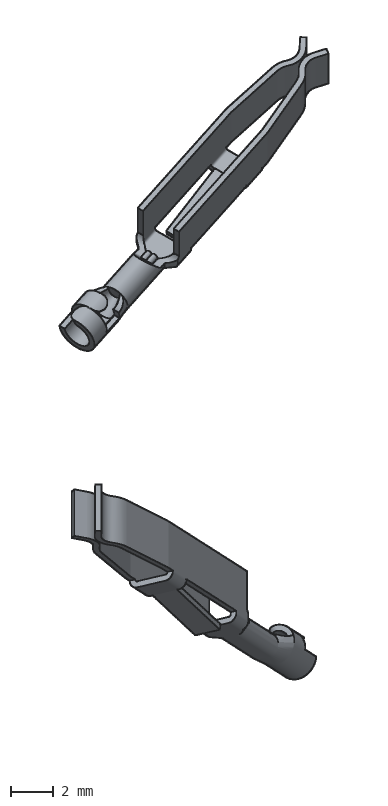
import cadquery as cq
import math


sheet = 0.3
half_width = 1.2
bend = 0.42
top = 2.9

barrel_split = 1.0
barrel_end = 2 * barrel_split
crimp_start = 3.03
crimp_end = 6.05
neck_end = 6.45
wall_start = 6.56
rear_floor_end = 7.55
bridge_start = 12.05
bridge_end = 13.28
lead_in = 13.7
tip_end = 19.3

bridge_lift = 0.1
latch_half_width = 0.68
latch_end = 8.13
latch_bottom = -0.56

waist_x = 0.35
waist_y = 18.16
waist_radius = 0.77
shoulder_radius = 1.4
tip_angle = math.radians(33)
throat_angle = math.radians(40)

crimp_half_width = 0.75
crimp_top = 1.27
crimp_side = 0.64
neck_floor_half_width = 0.3
curl_radius = 0.17
curl_z = 0.7
curl_offset = 0.15
curl_start = 5.21

notch_low = crimp_side
notch_wall_z = 0.96
notch_flat_end = 6.1
notch_start = 5.17
notch_angle = math.radians(51)
notch_radius = 0.2

barrel_radius = 1.02
ledge_z = 0.93
finger_reach = 0.56
funnel_radius = 0.33
funnel_edge = ((crimp_start, 1.14), (2.7, 1.1), (barrel_end, 1.33))


def plane_at(y):
    """Plane across the part at station y: local x is X, local y is Z."""
    return cq.Workplane("XZ", origin=(0, y, 0))


def block(x0, x1, y0, y1, z0, z1):
    return cq.Workplane("XY").box(x1 - x0, y1 - y0, z1 - z0, centered=False).translate((x0, y0, z0))


def trough_outline(plane, half, radius, low, high):
    """Upright outline with rounded lower corners."""
    inset = radius * (1 - math.sqrt(0.5))
    return (
        plane.moveTo(-half + radius, low)
        .lineTo(half - radius, low)
        .threePointArc((half - inset, low + inset), (half, low + radius))
        .lineTo(half, high)
        .lineTo(-half, high)
        .lineTo(-half, low + radius)
        .threePointArc((-half + inset, low + inset), (-half + radius, low))
        .close()
    )


def bridge():
    """Floor strip joining the walls near the front, with upright stubs that merge into the walls."""
    length = bridge_end - bridge_start
    floor = bridge_lift + sheet
    stub_top = bridge_lift + bend + sheet
    outer = trough_outline(plane_at(bridge_end), half_width, bend, bridge_lift, stub_top).extrude(length)
    inner = trough_outline(plane_at(bridge_end), half_width - sheet, bend - sheet, floor, stub_top)
    return outer.cut(inner.extrude(length))


def contact_arm():
    """Right wall and contact arm, seen from above and extruded upwards."""

    def on_waist(radius, angle):
        centre_x = waist_x + waist_radius
        return (centre_x - radius * math.cos(angle), waist_y + radius * math.sin(angle))

    throat_x, throat_y = on_waist(waist_radius, -throat_angle)
    shoulder_x = throat_x - shoulder_radius * math.cos(throat_angle)
    shoulder_y = throat_y - shoulder_radius * math.sin(throat_angle)

    def on_shoulder(radius, angle):
        return (shoulder_x + radius * math.cos(angle), shoulder_y + radius * math.sin(angle))

    gap_x = half_width - shoulder_x
    gap_y = lead_in - shoulder_y
    slant = math.atan2(gap_y, gap_x) + math.acos(shoulder_radius / math.hypot(gap_x, gap_y))
    shoulder_mid = (slant + throat_angle) / 2
    waist_mid = (tip_angle - throat_angle) / 2

    tip_inner_x, tip_inner_y = on_waist(waist_radius + sheet, tip_angle)
    tip_length = (tip_end - tip_inner_y) / math.cos(tip_angle)
    tip_run = tip_length * math.sin(tip_angle)
    tip_inner = (tip_inner_x + tip_run, tip_end)
    tip_outer = (tip_inner[0] + sheet * math.cos(tip_angle), tip_end - sheet * math.sin(tip_angle))
    inner_waist = waist_radius + sheet
    inner_shoulder = shoulder_radius - sheet
    inner_lead_in = lead_in - sheet * math.tan(slant / 2)

    return (
        cq.Workplane("XY", origin=(0, 0, bridge_lift + bend))
        .moveTo(half_width, wall_start)
        .lineTo(half_width, lead_in)
        .lineTo(*on_shoulder(shoulder_radius, slant))
        .threePointArc(on_shoulder(shoulder_radius, shoulder_mid), (throat_x, throat_y))
        .threePointArc(on_waist(waist_radius, waist_mid), on_waist(waist_radius, tip_angle))
        .lineTo(*tip_outer)
        .lineTo(*tip_inner)
        .lineTo(tip_inner_x, tip_inner_y)
        .threePointArc(on_waist(inner_waist, waist_mid), on_waist(inner_waist, -throat_angle))
        .threePointArc(on_shoulder(inner_shoulder, shoulder_mid), on_shoulder(inner_shoulder, slant))
        .lineTo(half_width - sheet, inner_lead_in)
        .lineTo(half_width - sheet, wall_start)
        .close()
        .extrude(top - bridge_lift - bend)
    )


def latch():
    """Flat tongue hanging backwards from the front floor strip."""
    drop = bridge_lift - latch_bottom
    slope = math.atan2(drop, bridge_start - latch_end)
    length = (bridge_start - latch_end - sheet * math.sin(slope)) / math.cos(slope)
    overlap = 0.05
    tongue = block(
        -latch_half_width, latch_half_width, bridge_start - length, bridge_start + overlap,
        bridge_lift, bridge_lift + sheet,
    )
    hinge = (0, bridge_start, bridge_lift)
    hinge_end = (1, bridge_start, bridge_lift)
    return tongue.rotate(hinge, hinge_end, math.degrees(slope))


def crimp_outline(plane):
    """Wire crimp outline: rounded floor, upright sides and a domed top."""
    inset = bend * (1 - math.sqrt(0.5))
    half = crimp_half_width
    return (
        plane.moveTo(-half + bend, 0)
        .lineTo(half - bend, 0)
        .threePointArc((half - inset, inset), (half, bend))
        .lineTo(half, crimp_side)
        .threePointArc((0, crimp_top), (-half, crimp_side))
        .lineTo(-half, bend)
        .threePointArc((-half + inset, inset), (-half + bend, 0))
        .close()
    )


def barrel_outline(workplane):
    """Circle of the insulation barrel, split like the wire crimp outline."""

    def at(degrees):
        angle = math.radians(degrees)
        return (barrel_radius * math.cos(angle), barrel_radius * (1 + math.sin(angle)))

    floor, corner, side = -70, -28, -5
    return (
        workplane.moveTo(*at(180 - floor))
        .threePointArc(at(-90), at(floor))
        .threePointArc(at((floor + corner) / 2), at(corner))
        .threePointArc(at((corner + side) / 2), at(side))
        .threePointArc(at(90), at(180 - side))
        .threePointArc(at(180 - (corner + side) / 2), at(180 - corner))
        .threePointArc(at(180 - (floor + corner) / 2), at(180 - floor))
        .close()
    )


def neck():
    """Walls and floor tapering from the body to the wire crimp, still solid inside."""
    straight = trough_outline(plane_at(rear_floor_end), half_width, bend, 0, notch_wall_z)
    straight = straight.extrude(rear_floor_end - neck_end)
    taper = trough_outline(plane_at(neck_end), half_width, bend, 0, notch_wall_z)
    taper = trough_outline(
        taper.workplane(offset=neck_end - crimp_end), crimp_half_width, bend, 0, notch_wall_z
    ).loft(ruled=True)
    return straight.union(taper)


def neck_pocket():
    """Hollow of the neck above its floor."""
    half = half_width - sheet
    radius = bend - sheet
    straight = trough_outline(plane_at(rear_floor_end), half, radius, sheet, top)
    straight = straight.extrude(rear_floor_end - wall_start)
    taper = trough_outline(plane_at(wall_start), half, radius, sheet, top)
    taper = trough_outline(
        taper.workplane(offset=wall_start - crimp_end), neck_floor_half_width, radius, sheet, top
    ).loft(ruled=True)
    return straight.union(taper)


def notch():
    """Space removed above the neck and the near end of the wire crimp."""
    corner_y = notch_start + (crimp_top - notch_low) / math.tan(notch_angle)
    blend = notch_radius * math.tan(notch_angle / 2)
    blend_start = (corner_y - blend * math.cos(notch_angle), notch_low + blend * math.sin(notch_angle))
    return (
        cq.Workplane("YZ", origin=(-half_width, 0, 0))
        .moveTo(notch_start, crimp_top)
        .lineTo(*blend_start)
        .tangentArcPoint((corner_y + blend, notch_low), relative=False)
        .lineTo(notch_flat_end, notch_low)
        .tangentArcPoint((wall_start, notch_wall_z), relative=False)
        .lineTo(wall_start, top)
        .lineTo(notch_start, top)
        .close()
        .extrude(2 * half_width)
    )


def wire_crimp():
    return crimp_outline(plane_at(crimp_end)).extrude(crimp_end - crimp_start)


def wing_curls():
    """Rounded ends of the two rolled-in wings, side by side in the crimp."""
    curl = plane_at(crimp_end).center(curl_offset, curl_z).circle(curl_radius).extrude(crimp_end - curl_start)
    return curl.union(curl.mirror("YZ"))


def funnel():
    """Open transition from the wire crimp to the insulation barrel."""
    length = crimp_start - barrel_end
    outer = crimp_outline(plane_at(crimp_start)).workplane(offset=length)
    outer = barrel_outline(outer).loft(ruled=True)
    bore = (
        plane_at(crimp_start).center(0, barrel_radius).circle(funnel_radius)
        .workplane(offset=length).circle(barrel_radius - sheet).loft()
    )
    opening = (
        cq.Workplane("YZ", origin=(-half_width, 0, 0))
        .moveTo(*funnel_edge[0])
        .threePointArc(*funnel_edge[1:])
        .lineTo(barrel_end, top)
        .lineTo(crimp_start, top)
        .close()
        .extrude(2 * half_width)
    )
    return outer.cut(bore).cut(opening)


def insulation_barrel():
    """Ring of two fingers, each reaching over the top from the opposite side."""
    ring = (
        plane_at(barrel_end).center(0, barrel_radius)
        .circle(barrel_radius).circle(barrel_radius - sheet).extrude(barrel_end)
    )
    tip = barrel_split / 2
    lean = math.degrees(math.asin(finger_reach / barrel_radius))
    above_ledge = block(-half_width, half_width, 0, barrel_end, ledge_z, top)
    for y0, side in ((0, -1), (barrel_split, 1)):
        clearance = (
            cq.Workplane("XY")
            .moveTo(-side * tip, y0)
            .threePointArc((0, y0 + tip), (-side * tip, y0 + barrel_split))
            .lineTo(side * half_width, y0 + barrel_split)
            .lineTo(side * half_width, y0)
            .close()
            .extrude(top)
            .rotate((0, 0, 0), (0, 1, 0), side * lean)
            .translate((0, 0, barrel_radius))
            .intersect(above_ledge)
        )
        ring = ring.cut(clearance)
    return ring


arm = contact_arm()
rear = neck().union(wire_crimp()).cut(neck_pocket()).cut(notch())
result = (
    rear.union(wing_curls())
    .union(funnel())
    .union(insulation_barrel())
    .union(arm)
    .union(arm.mirror("YZ"))
    .union(bridge())
    .union(latch())
)